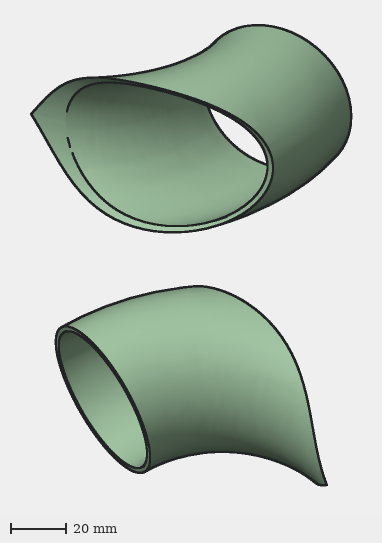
import cadquery as cq

outer_diameter = 60.3
wall = 2.0
overall_length = 106.2
main_pipe_diameter = 89.0
bend_angle = 90

outer_radius = outer_diameter / 2
inner_radius = outer_radius - wall
bend_radius = overall_length - outer_radius
main_pipe_radius = main_pipe_diameter / 2

inside_bend_radius = bend_radius - outer_radius
main_pipe_y = -(inside_bend_radius + main_pipe_radius)


def make_elbow():
    """Hollow bend from the flat end at Y = 0 round to the X = 0 plane."""
    ring = cq.Workplane("XZ").center(bend_radius, 0).circle(outer_radius).circle(inner_radius)
    return ring.revolve(bend_angle, (-bend_radius, 0, 0), (-bend_radius, -1, 0))


def make_main_pipe():
    """Cylinder along X, reaching past both sides of the elbow."""
    section = cq.Workplane("YZ").center(main_pipe_y, 0).circle(main_pipe_radius)
    return section.extrude(2 * overall_length, both=True)


result = make_elbow().cut(make_main_pipe())